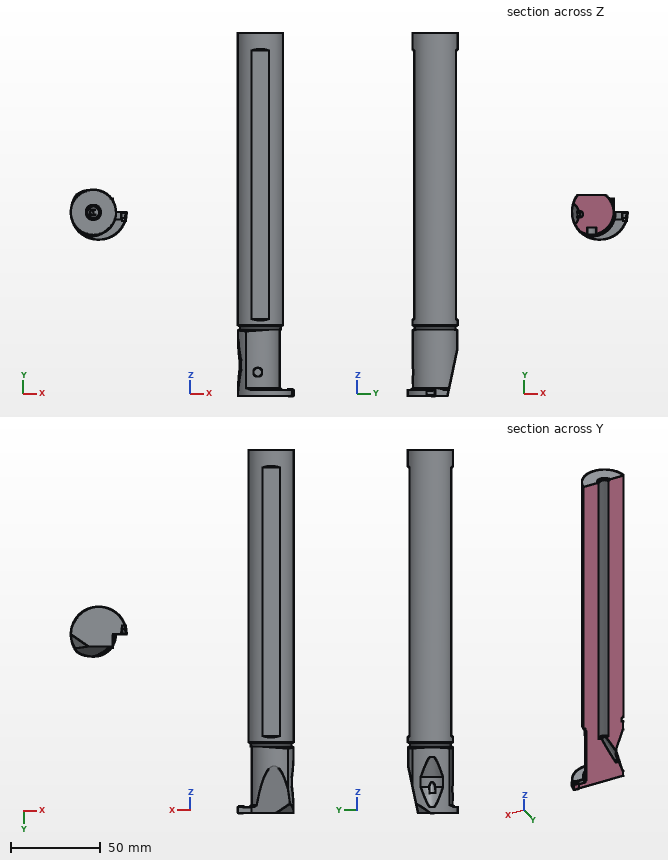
import cadquery as cq
import math


total_length = 203.2
shank_radius = 12.7
shank_bottom = 40.0

bore_radius = 3.3
bore_mouth_radius = 4.2
bore_bottom = 30.0
coolant_radius = 1.7

flat_bottom = 42.5
flat_top = 194.2
flat_depth = 0.95

groove_radius = 11.5
groove_top = 39.2
groove_bottom = 37.5
shoulder_angle = 30.0

swing_radius = 15.6
swing_center_x = 3.0
swing_center_y = 0.27
neck_radius = 12.5
neck_center_x = -1.63
neck_flare = 1.0

flange_bottom = 0.3
flange_top = 3.75

clearance_foot_y = 6.9
clearance_angle = 11.9
bevel_start = cq.Vector(-12.4, 0.3, flange_bottom)
bevel_end = cq.Vector(-3.0, 6.8, flange_bottom)
bevel_peak = cq.Vector(-10.3, 7.65, 5.0)
cutter_size = 60.0

pocket_center = (-16.4, -1.2, 17.6)
pocket_radius = 8.1
pocket_tip_radius = 4.1
pocket_straight_half = 2.8
pocket_half_height = 14.0
coolant_outlet = cq.Vector(-9.5, pocket_center[1], 11.5)

side_hole_x = -1.45
side_hole_z = 13.6
side_hole_radius = 2.5
side_hole_depth = 4.0

insert_inner_x = 15.5
insert_tip_x = 18.69
insert_face_y = -0.4
insert_thickness = 4.5
insert_top = 4.1
insert_corner = 0.8
insert_relief_angle = 7.0

recess_inner_x = 11.5
recess_back_y = -4.0
recess_depth = 0.3
gullet_inner_x = neck_center_x + neck_radius
gullet_y = 0.2


def cylinder(radius, bottom, top, x=0.0, y=0.0):
    """Vertical cylinder between two heights."""
    return cq.Workplane("XY", origin=(x, y, bottom)).circle(radius).extrude(top - bottom)


def turned(points):
    """Solid turned about the Z axis from (radius, height) points."""
    return cq.Workplane("XZ").polyline(points).close().revolve(360, (0, 0, 0), (0, 1, 0))


def box_between(low, high):
    """Box spanning two opposite corners."""
    size = [end - start for start, end in zip(low, high)]
    return cq.Workplane("XY").box(*size, centered=False).translate(low)


def make_shank():
    """Straight shank with a chamfered lower edge, and the core of the relief groove."""
    return turned([
        (0, groove_bottom),
        (groove_radius, groove_bottom),
        (groove_radius, groove_top),
        (shank_radius, shank_bottom),
        (shank_radius, total_length),
        (0, total_length),
    ])


def make_head():
    """Neck with a flared foot, trimmed by the swing circle and the shoulder cone, on its flange."""
    neck = cylinder(neck_radius, flange_bottom, groove_bottom, neck_center_x)
    foot = turned([
        (0, flange_top),
        (neck_radius + neck_flare, flange_top),
        (neck_radius, flange_top + neck_flare),
        (0, flange_top + neck_flare),
    ]).translate((neck_center_x, 0, 0))
    swing = cylinder(swing_radius, flange_bottom, groove_bottom, swing_center_x, swing_center_y)
    rim_radius = swing_center_x + swing_radius
    shoulder_drop = (rim_radius - groove_radius) * math.tan(math.radians(shoulder_angle))
    shoulder = turned([
        (0, flange_bottom),
        (rim_radius, flange_bottom),
        (rim_radius, groove_bottom - shoulder_drop),
        (groove_radius, groove_bottom),
        (0, groove_bottom),
    ])
    flange = cylinder(swing_radius, flange_bottom, flange_top, swing_center_x, swing_center_y)
    return neck.union(foot).intersect(swing).intersect(shoulder).union(flange)


def flat_cut(side):
    """Clamping flat with 45 degree end ramps; side is -1 or +1 along Y."""
    surface = side * shank_radius
    floor = side * (shank_radius - flat_depth)
    return (
        cq.Workplane("YZ", origin=(-shank_radius, 0, 0))
        .polyline([
            (floor, flat_bottom + flat_depth),
            (surface, flat_bottom),
            (surface, flat_top),
            (floor, flat_top - flat_depth),
        ])
        .close()
        .extrude(2 * shank_radius)
    )


def bore_cut():
    """Coolant bore down the shank with a countersunk mouth."""
    return turned([
        (0, bore_bottom),
        (bore_radius, bore_bottom),
        (bore_radius, total_length - (bore_mouth_radius - bore_radius)),
        (bore_mouth_radius, total_length),
        (0, total_length),
    ])


def coolant_cut():
    """Inclined hole from the bottom of the bore into the chip pocket."""
    start = cq.Vector(0, 0, bore_bottom)
    run = coolant_outlet - start
    return cq.Workplane("XY").add(cq.Solid.makeCylinder(coolant_radius, run.Length, start, run))


def clearance_cut():
    """Inclined plane that thins the head towards the bottom on the +Y side."""
    tilted = (
        cq.Workplane("XY")
        .box(cutter_size, cutter_size, cutter_size, centered=(True, False, True))
        .rotate((0, 0, 0), (1, 0, 0), -clearance_angle)
        .translate((0, clearance_foot_y, 0))
    )
    return tilted.intersect(cylinder(cutter_size, 0, groove_bottom))


def bevel_cut():
    """Oblique bevel of the bottom edge at the -X, +Y corner."""
    along = bevel_end - bevel_start
    outward = (bevel_peak - bevel_start).cross(along)
    plane = cq.Plane(bevel_start, along, outward)
    return cq.Workplane(plane).rect(cutter_size, cutter_size).extrude(cutter_size)


def pocket_cut():
    """Double-tapered pocket turned about a vertical axis outside the head."""
    return turned([
        (0, -pocket_half_height),
        (pocket_tip_radius, -pocket_half_height),
        (pocket_radius, -pocket_straight_half),
        (pocket_radius, pocket_straight_half),
        (pocket_tip_radius, pocket_half_height),
        (0, pocket_half_height),
    ]).translate(pocket_center)


def side_hole_cut():
    """Blind flat-bottomed hole in the -Y side of the neck."""
    return (
        cq.Workplane("XZ", origin=(side_hole_x, -neck_radius, side_hole_z))
        .circle(side_hole_radius)
        .extrude(-side_hole_depth)
    )


def gullet_cut():
    """Chip space through the flange on the +X side in front of the insert face."""
    return box_between((gullet_inner_x, gullet_y, 0), (cutter_size, cutter_size, flange_top + neck_flare))


def recess_cut():
    """Shallow recess in the top of the flange beside the insert."""
    return box_between(
        (recess_inner_x, recess_back_y, flange_top - recess_depth),
        (insert_inner_x, gullet_y, flange_top),
    )


def make_insert():
    """Insert with beveled corners and sides that taper back from its +Y cutting face."""
    return (
        cq.Workplane("XZ", origin=(0, insert_face_y, 0))
        .polyline([
            (insert_inner_x, flange_bottom),
            (insert_inner_x + insert_corner, 0),
            (insert_tip_x - insert_corner, 0),
            (insert_tip_x, insert_corner),
            (insert_tip_x, insert_top - insert_corner),
            (insert_tip_x - insert_corner, insert_top),
            (insert_inner_x, insert_top),
        ])
        .close()
        .extrude(insert_thickness, taper=insert_relief_angle)
    )


insert = make_insert()
holder = make_shank().union(make_head())
holder_cuts = [
    flat_cut(-1),
    flat_cut(1),
    bore_cut(),
    pocket_cut(),
    coolant_cut(),
    clearance_cut(),
    bevel_cut(),
    side_hole_cut(),
    gullet_cut(),
    recess_cut(),
    insert,
]
for cutter in holder_cuts:
    holder = holder.cut(cutter)

result = cq.Compound.makeCompound([holder.val(), insert.val()])